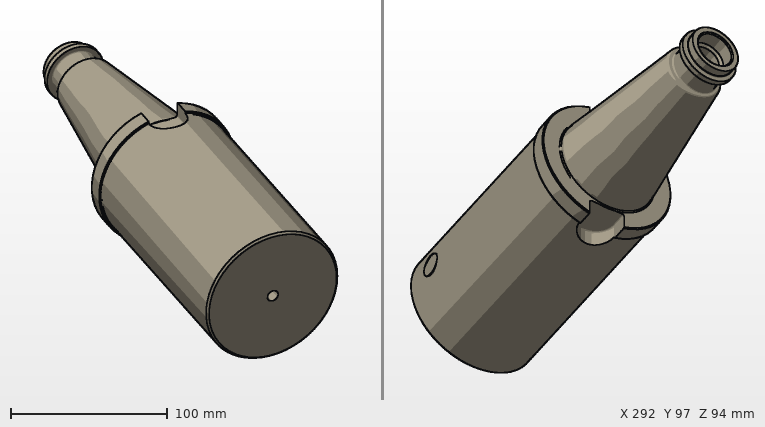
import cadquery as cq
import math

LENGTH = 292.0

PILOT_RADIUS = 17.2
COLLAR_RADIUS = 20.1
COLLAR_START = 7.3
COLLAR_END = 11.0
NECK_RADIUS = 16.4
RELIEF_START = 5.8
RELIEF_RADIUS = 17.0
RELIEF_FILLET = 0.5
NECK_FILLET = 1.2

TAPER_START = 25.0
TAPER_FILLET = 1.8
GAUGE_X = 126.7
GAUGE_RADIUS = 35.0
TAPER_SLOPE = 7 / 48

FLANGE_START = 130.0
FLANGE_WIDTH = 12.0
FLANGE_END = FLANGE_START + FLANGE_WIDTH
FLANGE_RADIUS = 48.5
FLANGE_CHAMFER = 0.73
FLANGE_FILLET = 1.0

BODY_RADIUS = 47.0
BODY_CHAMFER = 1.5
BODY_FILLET = 0.5

SLOT_WIDTH = 26.0
SLOT_FLOOR = 35.3
SLOT_FILLET = 1.8

BORE_RADIUS = 12.5
BORE_CHAMFER = 1.0
BORE_DEPTH = 10.5
CORE_RADIUS = 10.2
CORE_DEPTH = 58.5
COOLANT_RADIUS = 3.8
CONE_HALF_ANGLE = 60.0

SCREW_X = 267.0
SCREW_RADIUS = 8.0
SCREW_LENGTH = 23.5
SCREW_TOP = BODY_RADIUS


def revolve_about_x(outline):
    return outline.close().revolve(360, (0, 0, 0), (1, 0, 0))


def turned_blank():
    cone_angle = math.atan(TAPER_SLOPE)
    round_x = TAPER_START + TAPER_FILLET
    round_radius = (
        GAUGE_RADIUS - (GAUGE_X - round_x) * TAPER_SLOPE - TAPER_FILLET / math.cos(cone_angle)
    )
    round_end_x = round_x - TAPER_FILLET * math.sin(cone_angle)
    round_end_radius = round_radius + TAPER_FILLET * math.cos(cone_angle)
    outline = (
        cq.Workplane("XY")
        .lineTo(0, PILOT_RADIUS)
        .lineTo(RELIEF_START, PILOT_RADIUS)
        .lineTo(RELIEF_START, RELIEF_RADIUS)
        .lineTo(COLLAR_START - RELIEF_FILLET, RELIEF_RADIUS)
        .radiusArc((COLLAR_START, RELIEF_RADIUS + RELIEF_FILLET), -RELIEF_FILLET)
        .lineTo(COLLAR_START, COLLAR_RADIUS)
        .lineTo(COLLAR_END, COLLAR_RADIUS)
        .lineTo(COLLAR_END, NECK_RADIUS + NECK_FILLET)
        .radiusArc((COLLAR_END + NECK_FILLET, NECK_RADIUS), -NECK_FILLET)
        .lineTo(TAPER_START - NECK_FILLET, NECK_RADIUS)
        .radiusArc((TAPER_START, NECK_RADIUS + NECK_FILLET), -NECK_FILLET)
        .lineTo(TAPER_START, round_radius)
        .radiusArc((round_end_x, round_end_radius), TAPER_FILLET)
        .lineTo(GAUGE_X, GAUGE_RADIUS)
        .lineTo(FLANGE_START - FLANGE_FILLET, GAUGE_RADIUS)
        .radiusArc((FLANGE_START, GAUGE_RADIUS + FLANGE_FILLET), -FLANGE_FILLET)
        .lineTo(FLANGE_START, FLANGE_RADIUS - FLANGE_CHAMFER)
        .lineTo(FLANGE_START + FLANGE_CHAMFER, FLANGE_RADIUS)
        .lineTo(FLANGE_END - FLANGE_CHAMFER, FLANGE_RADIUS)
        .lineTo(FLANGE_END, FLANGE_RADIUS - FLANGE_CHAMFER)
        .lineTo(FLANGE_END, BODY_RADIUS + BODY_FILLET)
        .radiusArc((FLANGE_END + BODY_FILLET, BODY_RADIUS), -BODY_FILLET)
        .lineTo(LENGTH - BODY_CHAMFER, BODY_RADIUS)
        .lineTo(LENGTH, BODY_RADIUS - BODY_CHAMFER)
        .lineTo(LENGTH, 0)
    )
    return revolve_about_x(outline)


def axial_bore():
    cone_slope = math.tan(math.radians(CONE_HALF_ANGLE))
    bore_cone_length = (BORE_RADIUS - CORE_RADIUS) / cone_slope
    core_cone_length = (CORE_RADIUS - COOLANT_RADIUS) / cone_slope
    outline = (
        cq.Workplane("XY")
        .lineTo(0, BORE_RADIUS + BORE_CHAMFER)
        .lineTo(BORE_CHAMFER, BORE_RADIUS)
        .lineTo(BORE_DEPTH, BORE_RADIUS)
        .lineTo(BORE_DEPTH + bore_cone_length, CORE_RADIUS)
        .lineTo(CORE_DEPTH, CORE_RADIUS)
        .lineTo(CORE_DEPTH + core_cone_length, COOLANT_RADIUS)
        .lineTo(LENGTH, COOLANT_RADIUS)
        .lineTo(LENGTH, 0)
    )
    return revolve_about_x(outline)


def drive_slot():
    """Cutter for the slot on the +Z side, with its floor edges rounded."""
    half_width = SLOT_WIDTH / 2
    return (
        cq.Workplane("XY", origin=(0, 0, SLOT_FLOOR))
        .moveTo(FLANGE_START, -half_width)
        .lineTo(FLANGE_END, -half_width)
        .threePointArc((FLANGE_END + half_width, 0), (FLANGE_END, half_width))
        .lineTo(FLANGE_START, half_width)
        .close()
        .extrude(FLANGE_RADIUS - SLOT_FLOOR)
        .edges("<Z")
        .edges("not <X")
        .fillet(SLOT_FILLET)
    )


def make_clamping_screw():
    """Plain cylinder along Y whose flat outer end just reaches the body's full radius."""
    return (
        cq.Workplane("XZ", origin=(SCREW_X, SCREW_TOP, 0))
        .circle(SCREW_RADIUS)
        .extrude(SCREW_LENGTH)
    )


def make_holder():
    holder = turned_blank().cut(axial_bore())
    slot = drive_slot()
    for angle in (0, 180):
        holder = holder.cut(slot.rotate((0, 0, 0), (1, 0, 0), angle))
    return holder


clamping_screw = make_clamping_screw()
holder = make_holder().cut(clamping_screw)

result = cq.Compound.makeCompound([holder.val(), clamping_screw.val()])